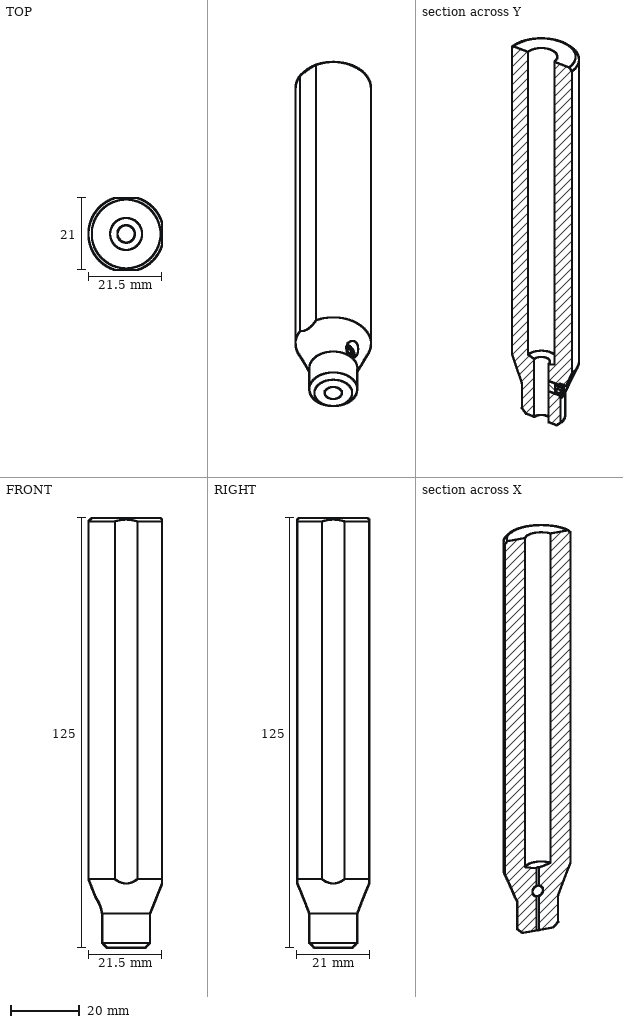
import cadquery as cq
import math

TOTAL_LENGTH = 125.0
SHANK_DIAMETER = 22.0
FLAT_OFFSET = 10.5
TOP_CHAMFER = 1.0

NOSE_DIAMETER = 14.0
NOSE_LENGTH = 10.0
NOSE_CHAMFER = 1.5
CONE_HEIGHT = 10.0
SHANK_START = NOSE_LENGTH + CONE_HEIGHT

THROUGH_HOLE_DIAMETER = 5.0
BORE_DIAMETER = 9.3
BORE_FLOOR_SLOPE = 20.0
BORE_FLOOR_HEIGHT = (BORE_DIAMETER - THROUGH_HOLE_DIAMETER) / 2 * math.tan(math.radians(BORE_FLOOR_SLOPE))
BORE_FLOOR_TOP = SHANK_START + BORE_FLOOR_HEIGHT

SCREW_HEIGHT = 12.5
SCREW_DIAMETER = 3.3
SCREW_CHAMFER = 0.35
SCREW_HEAD_X = -6.5
SCREW_TIP_X = -THROUGH_HOLE_DIAMETER / 2
RECESS_DIAMETER = 4.5
SOCKET_ACROSS_FLATS = 2.0
SOCKET_DEPTH = 1.5


def cylinder_along_x(diameter, x_start, x_end):
    """Cylinder on the screw axis between two X positions."""
    start_plane = cq.Workplane("YZ", origin=(x_start, 0, SCREW_HEIGHT))
    return start_plane.circle(diameter / 2).extrude(x_end - x_start)


def make_outer_form():
    """Solid of revolution for nose, cone and shank."""
    nose_radius = NOSE_DIAMETER / 2
    shank_radius = SHANK_DIAMETER / 2
    profile = [
        (0, 0),
        (nose_radius - NOSE_CHAMFER, 0),
        (nose_radius, NOSE_CHAMFER),
        (nose_radius, NOSE_LENGTH),
        (shank_radius, SHANK_START),
        (shank_radius, TOTAL_LENGTH - TOP_CHAMFER),
        (shank_radius - TOP_CHAMFER, TOTAL_LENGTH),
        (0, TOTAL_LENGTH),
    ]
    return cq.Workplane("XZ").polyline(profile).close().revolve(360, (0, 0, 0), (0, 1, 0))


def make_flats_envelope():
    """Block whose +X, +Y and -Y sides form the three flats; -X stays round."""
    x_length = SHANK_DIAMETER / 2 + FLAT_OFFSET
    block = cq.Workplane("XY").box(x_length, 2 * FLAT_OFFSET, TOTAL_LENGTH, centered=(False, True, False))
    return block.translate((-SHANK_DIAMETER / 2, 0, 0))


def make_bore():
    """Through hole that opens over a conical floor into the wide upper bore."""
    hole_radius = THROUGH_HOLE_DIAMETER / 2
    bore_radius = BORE_DIAMETER / 2
    profile = [
        (0, 0),
        (hole_radius, 0),
        (hole_radius, SHANK_START),
        (bore_radius, BORE_FLOOR_TOP),
        (bore_radius, TOTAL_LENGTH),
        (0, TOTAL_LENGTH),
    ]
    return cq.Workplane("XZ").polyline(profile).close().revolve(360, (0, 0, 0), (0, 1, 0))


def make_handle():
    """Handle with flats, stepped bore, and the recessed cross hole for the set screw."""
    recess = cylinder_along_x(RECESS_DIAMETER, -SHANK_DIAMETER / 2, SCREW_HEAD_X)
    screw_hole = cylinder_along_x(SCREW_DIAMETER, SCREW_HEAD_X, 0)
    handle = make_outer_form().intersect(make_flats_envelope())
    return handle.cut(make_bore()).cut(recess).cut(screw_hole)


def make_set_screw():
    """Headless screw, flush with the recess floor, with a hexagon socket."""
    socket_corner_diameter = SOCKET_ACROSS_FLATS / math.cos(math.radians(30))
    blank = cylinder_along_x(SCREW_DIAMETER, SCREW_HEAD_X, SCREW_TIP_X).faces("<X").chamfer(SCREW_CHAMFER)
    socket = (
        cq.Workplane("YZ", origin=(SCREW_HEAD_X, 0, SCREW_HEIGHT))
        .transformed(rotate=(0, 0, 90))
        .polygon(6, socket_corner_diameter)
        .extrude(SOCKET_DEPTH)
    )
    return blank.cut(socket)


handle = make_handle()
set_screw = make_set_screw()
result = cq.Compound.makeCompound([handle.val(), set_screw.val()])